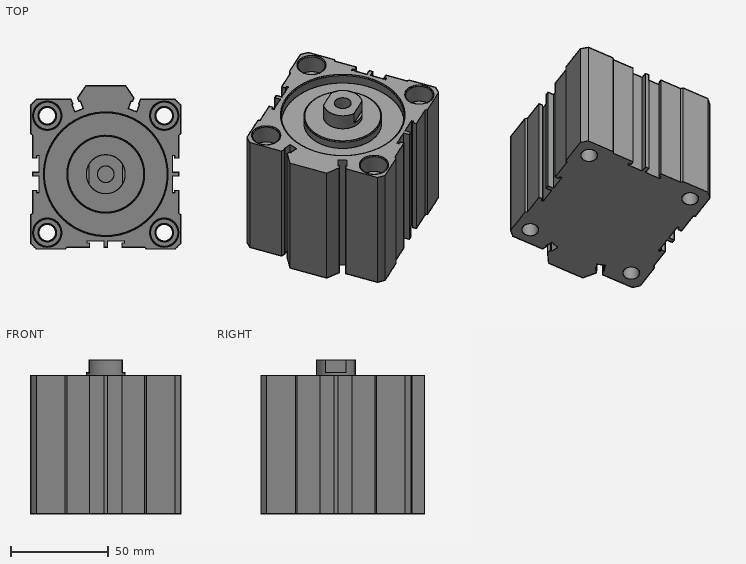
import cadquery as cq
import math

side = 77.0
half_side = side / 2
housing_height = 71.0
corner_chamfer = 3.0

panel_depth = 1.0
panel_half_width = 20.0
panel_edge_run = 0.8
slot_depth = 3.2
slot_lip_thickness = 2.2
slot_mouth_half_width = 8.25
slot_half_width = 9.5
slot_rib_width = 2.0

rail_height = 7.0
rail_top_half_width = 10.2
foot_slot_corner_x = 15.85
foot_slot_corner_y = 32.05
foot_slot_tilt = math.radians(21.0)
foot_slot_width = 4.55
foot_slot_depth = 4.1
foot_slot_outer_lip = 0.5
foot_slot_rail_lip = 0.75
rail_neck_length = 2.0
foot_mouth_length = 4.0

hole_spacing = 60.0
hole_diameter = 8.5
hole_entry_chamfer = 0.5
counterbore_diameter = 14.0
counterbore_depth = 10.5
counterbore_chamfer = 0.5

recess_diameter = 63.0
recess_depth = 5.5
recess_chamfer = 0.5
collar_diameter = 40.0
collar_height = 4.7
collar_chamfer = 0.5

rod_diameter = 20.0
rod_projection = 8.0
rod_across_flats = 17.0
rod_flat_length = 6.5
rod_bore_diameter = 8.5
rod_bore_depth = 15.0
rod_seat_depth = 20.0

recess_floor = housing_height - recess_depth
collar_top = recess_floor + collar_height
rod_top = housing_height + rod_projection
rod_bottom = collar_top - rod_seat_depth
panel_face = half_side - panel_depth
slot_floor = panel_face - slot_depth


def cylinder(diameter, bottom, top):
    """Vertical cylinder on the Z axis."""
    return cq.Workplane("XY").workplane(offset=bottom).circle(diameter / 2).extrude(top - bottom)


def prism(points):
    """Closed outline extruded over the full housing height."""
    return cq.Workplane("XY").polyline(points).close().extrude(housing_height)


def mirror_x(points):
    return [(-x, y) for x, y in points]


def foot_slot_point(across, up):
    """Point in the left foot slot, measured from its outer bottom corner along the tilted slot axes."""
    x = -foot_slot_corner_x + across * math.cos(foot_slot_tilt) - up * math.sin(foot_slot_tilt)
    y = foot_slot_corner_y + across * math.sin(foot_slot_tilt) + up * math.cos(foot_slot_tilt)
    return (x, y)


def add_rail(block):
    """Dovetail rail along +Y, undercut by a tilted T-slot at each foot."""
    neck_across = foot_slot_width - foot_slot_rail_lip
    left_half = [
        foot_slot_point(neck_across, foot_slot_depth),
        foot_slot_point(neck_across, foot_slot_depth + rail_neck_length),
        (-rail_top_half_width, half_side + rail_height),
    ]
    block = block.union(prism(left_half + mirror_x(left_half)[::-1]))

    mouth_end = foot_slot_depth + foot_mouth_length
    foot_slot = [
        foot_slot_point(0, 0),
        foot_slot_point(foot_slot_width, 0),
        foot_slot_point(foot_slot_width, foot_slot_depth),
        foot_slot_point(neck_across, foot_slot_depth),
        foot_slot_point(neck_across, mouth_end),
        foot_slot_point(foot_slot_outer_lip, mouth_end),
        foot_slot_point(foot_slot_outer_lip, foot_slot_depth),
        foot_slot_point(0, foot_slot_depth),
    ]
    return block.cut(prism(foot_slot)).cut(prism(mirror_x(foot_slot)))


def cut_sensor_face(block, angle):
    """Shallow panel and a ribbed T-slot in the -Y face, turned about Z by the given angle."""
    panel = [
        (-panel_half_width - panel_edge_run, -half_side),
        (-panel_half_width, -panel_face),
        (panel_half_width, -panel_face),
        (panel_half_width + panel_edge_run, -half_side),
    ]
    lip_inner = panel_face - slot_lip_thickness
    half_slot = [
        (slot_rib_width / 2, -half_side),
        (slot_rib_width / 2, -slot_floor),
        (slot_half_width, -slot_floor),
        (slot_half_width, -lip_inner),
        (slot_mouth_half_width, -lip_inner),
        (slot_mouth_half_width, -half_side),
    ]
    for outline in (panel, half_slot, mirror_x(half_slot)):
        cutter = prism(outline).rotate((0, 0, 0), (0, 0, 1), angle)
        block = block.cut(cutter)
    return block


def chamfered_bore(diameter, bottom, top, chamfer):
    """Cutter for a bore on the Z axis whose top edge is chamfered outwards."""
    radius = diameter / 2
    profile = [
        (0, bottom),
        (radius, bottom),
        (radius, top - chamfer),
        (radius + chamfer, top),
        (0, top),
    ]
    return cq.Workplane("XZ").polyline(profile).close().revolve(360, (0, 0), (0, 1))


def cut_mounting_holes(block):
    """Counterbored through hole in each corner."""
    seat = housing_height - counterbore_depth
    hole = chamfered_bore(hole_diameter, 0, seat, hole_entry_chamfer)
    counterbore = chamfered_bore(counterbore_diameter, seat, housing_height, counterbore_chamfer)
    cutter = hole.union(counterbore)
    offset = hole_spacing / 2
    for x in (-offset, offset):
        for y in (-offset, offset):
            block = block.cut(cutter.translate((x, y, 0)))
    return block


def make_housing():
    block = cq.Workplane("XY").rect(side, side).extrude(housing_height)
    block = block.edges("|Z").chamfer(corner_chamfer)
    block = add_rail(block)
    for angle in (-90, 0, 90):
        block = cut_sensor_face(block, angle)
    block = cut_mounting_holes(block)
    block = block.cut(chamfered_bore(recess_diameter, recess_floor, housing_height, recess_chamfer))

    collar = cylinder(collar_diameter, recess_floor, collar_top)
    collar = collar.faces(">Z").edges().chamfer(collar_chamfer)
    return block.union(collar).cut(cylinder(rod_diameter, rod_bottom, collar_top))


def make_rod():
    rod = cylinder(rod_diameter, rod_bottom, rod_top)
    flatted_end = (
        cq.Workplane("XY").workplane(offset=rod_top)
        .rect(rod_across_flats, rod_diameter).extrude(-rod_flat_length)
    )
    shank = cylinder(rod_diameter, rod_bottom, rod_top - rod_flat_length)
    rod = rod.intersect(flatted_end).union(shank)
    return rod.cut(cylinder(rod_bore_diameter, rod_top - rod_bore_depth, rod_top))


housing = make_housing()
rod = make_rod()
result = cq.Compound.makeCompound([housing.val(), rod.val()])